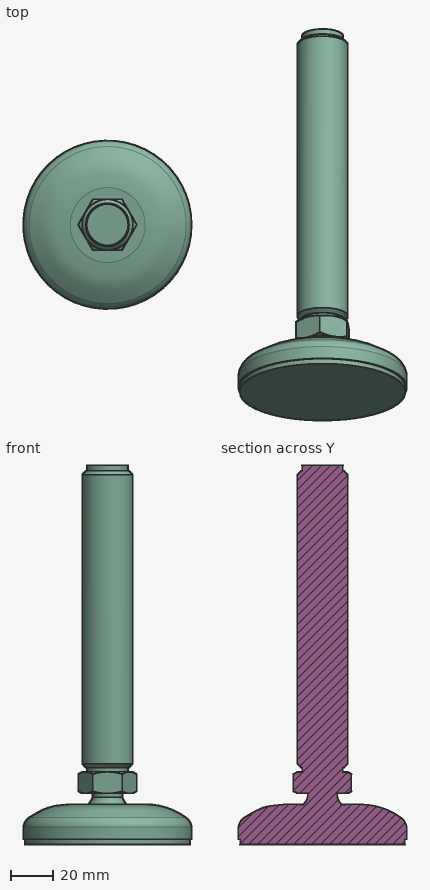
import cadquery as cq
import math

total_height = 179.2
foot_diameter = 79.66

rim_diameter = 78.2
rim_height = 2.4
band_top_z = 8.4
dome_edge_diameter = 74.2
dome_edge_z = 12.8
foot_top_z = 19.1
foot_flat_diameter = 35.4
recess_diameter = 21.6
recess_depth = 0.3

neck_diameter = 14.3
flare_top_z = 22.3
flare_base_diameter = 18.6
flare_radius = 8.0

hex_across_flats = 24.0
hex_bottom_z = 24.1
hex_height = 10.2
hex_chamfer_angle = 30.0

spindle_diameter = 24.0
relief_diameter = 19.5
spindle_chamfer_end_diameter = 20.4
spindle_chamfer_height = (spindle_diameter - spindle_chamfer_end_diameter) / 2
relief_top_z = 36.3
tip_length = 2.7


def make_foot():
    """Foot plate revolved about Z; the dome leaves the flat top tangentially and runs into the shoulder."""
    outer_radius = foot_diameter / 2
    rim_radius = rim_diameter / 2
    profile = (
        cq.Workplane("XZ")
        .moveTo(0, foot_top_z)
        .lineTo(foot_flat_diameter / 2, foot_top_z)
        .tangentArcPoint((dome_edge_diameter / 2, dome_edge_z), relative=False)
        .tangentArcPoint((outer_radius, band_top_z), relative=False)
        .lineTo(outer_radius, rim_height)
        .lineTo(rim_radius, rim_height)
        .lineTo(rim_radius, 0)
        .lineTo(0, 0)
        .close()
    )
    return profile.revolve(360, (0, 0, 0), (0, 1, 0))


def make_foot_recess():
    """Shallow round recess in the flat top, leaving a narrow gap around the neck."""
    return (
        cq.Workplane("XY", origin=(0, 0, foot_top_z - recess_depth))
        .circle(recess_diameter / 2)
        .extrude(recess_depth)
    )


def make_neck():
    """Round neck that flares out along a concave arc down to the floor of the recess."""
    neck_radius = neck_diameter / 2
    recess_floor_z = foot_top_z - recess_depth
    profile = (
        cq.Workplane("XZ")
        .moveTo(0, hex_bottom_z)
        .lineTo(neck_radius, hex_bottom_z)
        .lineTo(neck_radius, flare_top_z)
        .radiusArc((flare_base_diameter / 2, recess_floor_z), -flare_radius)
        .lineTo(0, recess_floor_z)
        .close()
    )
    return profile.revolve(360, (0, 0, 0), (0, 1, 0))


def make_hexagon():
    """Hexagon with corners on X, both ends chamfered by a cone from the across-flats circle."""
    corner_radius = hex_across_flats / 2 / math.cos(math.pi / 6)
    face_radius = hex_across_flats / 2
    chamfer_height = (corner_radius - face_radius) * math.tan(math.radians(hex_chamfer_angle))
    hex_top_z = hex_bottom_z + hex_height
    prism = (
        cq.Workplane("XY", origin=(0, 0, hex_bottom_z))
        .polygon(6, 2 * corner_radius)
        .extrude(hex_height)
    )
    envelope = (
        cq.Workplane("XZ")
        .moveTo(0, hex_bottom_z)
        .lineTo(face_radius, hex_bottom_z)
        .lineTo(corner_radius, hex_bottom_z + chamfer_height)
        .lineTo(corner_radius, hex_top_z - chamfer_height)
        .lineTo(face_radius, hex_top_z)
        .lineTo(0, hex_top_z)
        .close()
        .revolve(360, (0, 0, 0), (0, 1, 0))
    )
    return prism.intersect(envelope)


def make_spindle():
    """Long spindle with a relief below it, a reduced tip and a chamfer at each end."""
    relief_radius = relief_diameter / 2
    chamfer_end_radius = spindle_chamfer_end_diameter / 2
    spindle_radius = spindle_diameter / 2
    relief_bottom_z = hex_bottom_z + hex_height
    tip_bottom_z = total_height - tip_length
    profile = (
        cq.Workplane("XZ")
        .moveTo(0, relief_bottom_z)
        .lineTo(relief_radius, relief_bottom_z)
        .lineTo(relief_radius, relief_top_z)
        .lineTo(chamfer_end_radius, relief_top_z)
        .lineTo(spindle_radius, relief_top_z + spindle_chamfer_height)
        .lineTo(spindle_radius, tip_bottom_z - spindle_chamfer_height)
        .lineTo(chamfer_end_radius, tip_bottom_z)
        .lineTo(relief_radius, tip_bottom_z)
        .lineTo(relief_radius, total_height)
        .lineTo(0, total_height)
        .close()
    )
    return profile.revolve(360, (0, 0, 0), (0, 1, 0))


foot = make_foot().cut(make_foot_recess())
result = foot.union(make_neck()).union(make_hexagon()).union(make_spindle())